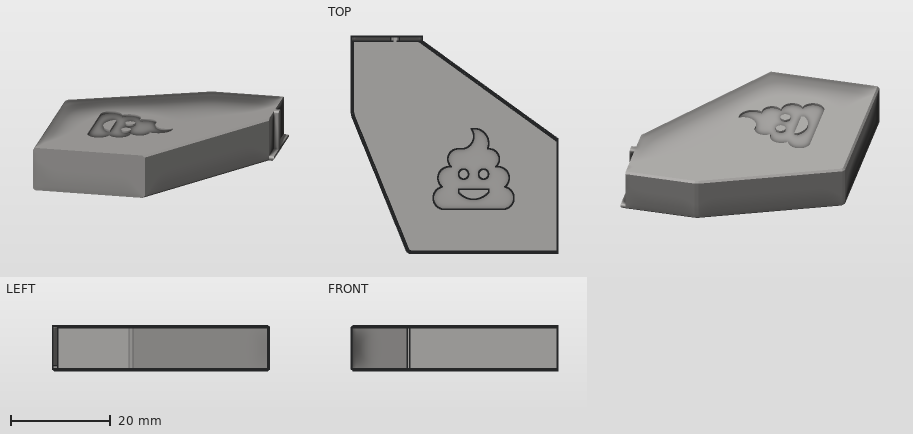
import cadquery as cq

width = 41.35
length = 43.5
thickness = 9.0

left_side_start = 27.8
front_side_start = 11.3
right_side_end = 22.9
rear_width = 14.25
edge_chamfer = 0.4

tongue_length = 1.0
floor_thickness = 1.0
tongue_round = 0.4
rib_width = 1.7
rib_center_x = 8.75
body_length = length - tongue_length

swirl_center_x = 24.5
swirl_depth = 0.5
swirl_floor_z = thickness - swirl_depth
eye_diameter = 2.0
eye_spacing = 4.0
eye_center_y = 15.85
mouth_width = 6.0
mouth_top_y = 12.8
mouth_corner_y = 12.2
mouth_bottom_y = 10.8

base_corner = (6.3, 8.83)
lower_lobe_side = (8.1, 11.1)
lower_notch = (6.3, 13.3)
middle_lobe_side = (7.15, 15.2)
middle_notch = (4.45, 17.3)
upper_lobe_side = (5.15, 19.1)
upper_lobe_top = (2.8, 20.9)

curl_outer_side = (2.2, 24.1)
curl_tip = (-0.45, 24.95)
curl_inner_side = (-0.6, 21.75)
curl_inner_foot = (-2.4, upper_lobe_top[1])


def right(point):
    """Place a swirl point on the right of the center line."""
    return (swirl_center_x + point[0], point[1])


def left(point):
    """Place a swirl point on the left of the center line."""
    return (swirl_center_x - point[0], point[1])


def make_body():
    """Chamfered body whose right and rear faces keep sharp edges."""
    outline = [
        (0, left_side_start),
        (front_side_start, 0),
        (width, 0),
        (width, right_side_end),
        (rear_width, body_length),
        (0, body_length),
    ]
    body = cq.Workplane("XY").polyline(outline).close().extrude(thickness)
    for corner in outline[:2]:
        nearest_edge = cq.selectors.NearestToPointSelector((*corner, thickness / 2))
        body = body.edges("|Z").edges(nearest_edge).chamfer(edge_chamfer)
    return body.faces("<Z or >Z").edges("not(>X or >Y)").chamfer(edge_chamfer)


def make_tongue():
    """Floor plate and rib, standing out from the rear face of the body."""
    floor_plate = (
        cq.Workplane("XY", origin=(0, body_length, 0))
        .box(rear_width, tongue_length, floor_thickness, centered=False)
        .faces("<Z").edges("not(<Y)").chamfer(edge_chamfer)
        .faces(">Z").edges("|Y").fillet(tongue_round)
    )
    rib = (
        cq.Workplane("XY", origin=(rib_center_x, body_length, edge_chamfer))
        .box(rib_width, tongue_length, thickness - edge_chamfer, centered=(True, False, False))
        .faces(">Z").edges("|Y").fillet(tongue_round)
    )
    return floor_plate.union(rib)


def make_swirl():
    """Outline of the swirl, as a solid reaching from the pocket floor to the top face."""
    outline = (
        cq.Workplane("XY", origin=(0, 0, swirl_floor_z))
        .moveTo(*left(base_corner))
        .lineTo(*right(base_corner))
        .threePointArc(right(lower_lobe_side), right(lower_notch))
        .threePointArc(right(middle_lobe_side), right(middle_notch))
        .threePointArc(right(upper_lobe_side), right(upper_lobe_top))
        .threePointArc(right(curl_outer_side), right(curl_tip))
        .threePointArc(right(curl_inner_side), right(curl_inner_foot))
        .lineTo(*left(upper_lobe_top))
        .threePointArc(left(upper_lobe_side), left(middle_notch))
        .threePointArc(left(middle_lobe_side), left(lower_notch))
        .threePointArc(left(lower_lobe_side), left(base_corner))
        .close()
    )
    return outline.extrude(swirl_depth)


def make_eyes():
    """Two round pads standing on the pocket floor."""
    eye_centers = [(swirl_center_x + side * eye_spacing / 2, eye_center_y) for side in (-1, 1)]
    return (
        cq.Workplane("XY", origin=(0, 0, swirl_floor_z))
        .pushPoints(eye_centers)
        .circle(eye_diameter / 2)
        .extrude(swirl_depth)
    )


def make_mouth():
    """Smile-shaped pad with a straight top and a curved underside."""
    half_width = mouth_width / 2
    return (
        cq.Workplane("XY", origin=(0, 0, swirl_floor_z))
        .moveTo(*left((half_width, mouth_top_y)))
        .lineTo(*right((half_width, mouth_top_y)))
        .lineTo(*right((half_width, mouth_corner_y)))
        .threePointArc((swirl_center_x, mouth_bottom_y), left((half_width, mouth_corner_y)))
        .close()
        .extrude(swirl_depth)
    )


swirl_pocket = make_swirl().cut(make_eyes()).cut(make_mouth())
result = make_body().union(make_tongue()).cut(swirl_pocket)